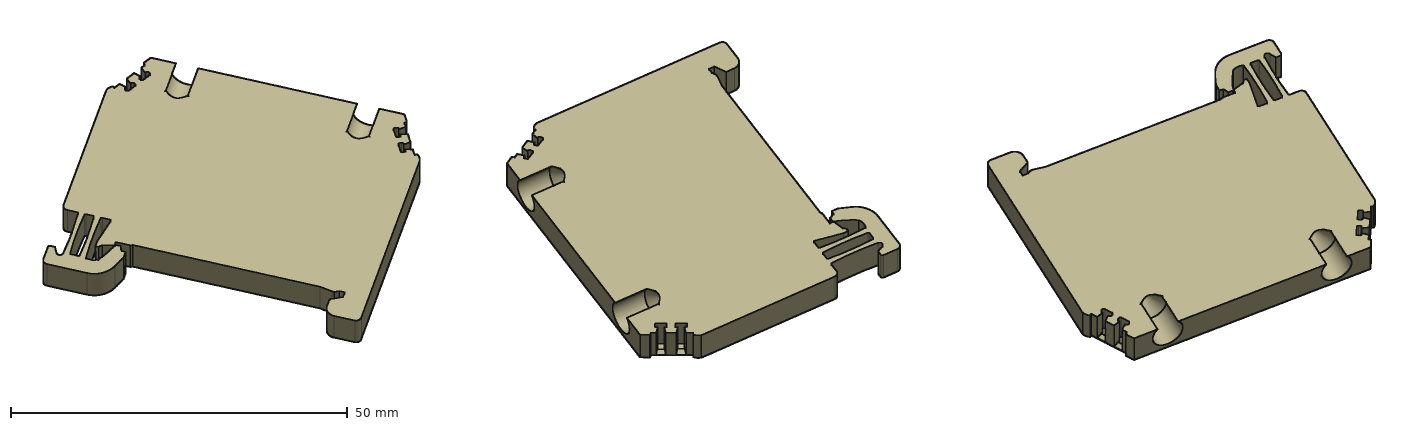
import cadquery as cq
import math

WIDTH = 48.5
HEIGHT = 42.345
THICKNESS = 5.1
HALF_WIDTH = WIDTH / 2

OVERLAP = 0.3
CORNER_SEARCH = 0.05

SLOPE_ANGLE = 60.0
SLOPE_FOOT_X = 23.2
SLOPE_FOOT_Y = 35.3
SLOPE_TOP_Y = 40.75
TOP_HALF_WIDTH = 19.6
LIP_X = 20.35
LIP_Y = 41.1
SHOULDER_X = 23.5
SHOULDER_Y = 35.5
SIDE_TOP_Y = 34.5
SHOULDER_BULGE = 0.12

SLOT_COUNT = 2
SLOT_PITCH = 3.0
FIRST_SLOT_X = 20.8
FIRST_SLOT_Y = 39.45
SLOT_FLOOR = 0.5
THROAT_EDGE_FLOOR = 0.15
THROAT_OUTER_WIDTH = 1.45
THROAT_INNER_WIDTH = 0.95
RAMP_LENGTH = 0.8
THROAT_DEPTH = 1.1
HEAD_LENGTH = 1.8
HEAD_WIDTH = 0.77
HEAD_RADIUS = 0.25

CHANNEL_X = 14.0
CHANNEL_OPENING = 3.4
CHANNEL_AXIS_DEPTH = 1.83
CHANNEL_LENGTH = 5.5
CHANNEL_TIP = 0.92

SEAT_Y = 7.05
SEAT_RIGHT_X = 16.7
SEAT_STEP_X = -12.2
SEAT_STEP_RUN = 0.35
SEAT_LEFT_X = -14.8
SEAT_LEFT_Y = 6.88
BUMP_Y = 6.7
BUMP_START_X = 18.65
BUMP_END_X = 19.05

GROOVE_START_X = 19.7
GROOVE_END_X = 20.55
GROOVE_LIP_Y = 6.1
LEG_X = 18.75
LEG_TOP_Y = 5.15
LEG_FOOT_Y = 2.25
LEG_OUTER_RADIUS = 0.8
LEG_INNER_RADIUS = 1.5

NOSE_TOP_Y = 6.25
NOSE_BEVEL_X = -16.6
NOSE_BEVEL_Y = 5.75
NOSE_TIP_START_X = -17.0
NOSE_TIP_END_X = -17.5
NOSE_TIP_Y = 5.28
NOSE_SIDE_Y = 6.2

BODY_LEFT_Y = 10.8
CORNER_RADIUS = 0.8
WEB_FOOT_Y = 2.7
WEB_SAG = 0.15
WEB_OUTER_X = -21.73
SLOT_LEFT_X = -20.72
SLOT_RIGHT_X = -19.28
SLOT_BOTTOM_Y = 2.8
SMALL_RADIUS = 0.2

WINDOW_X = -18.22
WINDOW_RIGHT_X = -16.6
WINDOW_FOOT_MIDDLE = (-17.4, 2.6)
WINDOW_FOOT_END = (-16.4, 2.9)
HOOK_INNER_TOP = (-14.9, 5.9)
HOOK_INNER_SAG = 0.1

TIP_Y = 6.35
TIP_LEFT_X = -14.7
TIP_RIGHT_X = -13.9
BARB_START = (-13.5, 5.5)
BARB_X = -12.87
BARB_TOP_Y = 5.45
BARB_BOTTOM_Y = 4.4
BACK_ARC_START = (-13.65, 2.45)
BACK_ARC_MIDDLE = (-14.95, 0.75)
BACK_ARC_END = (-17.3, 0)

TOE_Y = 3.5
TOE_RIGHT_X = -23.2
TOE_RADIUS = 0.3
TOE_GAP_START = (-22.7, 2.5)
TOE_GAP_MIDDLE = (-22.2, 2.2)


def mirrored(points):
    """The points flipped to the other side of the part, in the opposite order."""
    return [(-x, y) for x, y in reversed(points)]


def slope_profile():
    """Right shoulder from the top edge down to the foot of the slope."""
    run = (SLOPE_TOP_Y - SLOPE_FOOT_Y) / math.tan(math.radians(SLOPE_ANGLE))
    return [
        (TOP_HALF_WIDTH, HEIGHT),
        (LIP_X, LIP_Y),
        (SLOPE_FOOT_X - run, SLOPE_TOP_Y),
        (SLOPE_FOOT_X, SLOPE_FOOT_Y),
        (SHOULDER_X, SHOULDER_Y),
    ]


def body_outline():
    """Closed outline, clockwise from the left shoulder."""
    right = slope_profile()
    left = mirrored(right)
    return (
        cq.Workplane("XY")
        .polyline(left + right)
        .sagittaArc((HALF_WIDTH, SIDE_TOP_Y), SHOULDER_BULGE)
        .lineTo(HALF_WIDTH, LEG_FOOT_Y)
        .lineTo(LEG_X, LEG_FOOT_Y)
        .lineTo(LEG_X, LEG_TOP_Y)
        .lineTo(GROOVE_END_X, GROOVE_LIP_Y)
        .lineTo(GROOVE_END_X, SEAT_Y)
        .lineTo(GROOVE_START_X, SEAT_Y)
        .lineTo(BUMP_END_X, BUMP_Y)
        .lineTo(BUMP_START_X, BUMP_Y)
        .lineTo(SEAT_RIGHT_X, SEAT_Y)
        .lineTo(SEAT_STEP_X, SEAT_Y)
        .lineTo(SEAT_STEP_X - SEAT_STEP_RUN, SEAT_LEFT_Y)
        .lineTo(SEAT_LEFT_X, SEAT_LEFT_Y)
        .lineTo(SEAT_LEFT_X, NOSE_TOP_Y)
        .lineTo(NOSE_BEVEL_X, NOSE_BEVEL_Y)
        .lineTo(NOSE_TIP_START_X, NOSE_TIP_Y)
        .lineTo(NOSE_TIP_END_X, NOSE_TIP_Y)
        .lineTo(NOSE_TIP_END_X, NOSE_SIDE_Y)
        .lineTo(WINDOW_RIGHT_X, BODY_LEFT_Y)
        .lineTo(WINDOW_X, BODY_LEFT_Y)
        .sagittaArc((WINDOW_X, WEB_FOOT_Y), -WEB_SAG)
        .threePointArc(WINDOW_FOOT_MIDDLE, WINDOW_FOOT_END)
        .sagittaArc(HOOK_INNER_TOP, -HOOK_INNER_SAG)
        .lineTo(TIP_LEFT_X, TIP_Y)
        .lineTo(TIP_RIGHT_X, TIP_Y)
        .lineTo(*BARB_START)
        .lineTo(BARB_X, BARB_TOP_Y)
        .lineTo(BARB_X, BARB_BOTTOM_Y)
        .lineTo(*BACK_ARC_START)
        .threePointArc(BACK_ARC_MIDDLE, BACK_ARC_END)
        .lineTo(-HALF_WIDTH, 0)
        .lineTo(-HALF_WIDTH, TOE_Y)
        .lineTo(TOE_RIGHT_X, TOE_Y)
        .lineTo(*TOE_GAP_START)
        .threePointArc(TOE_GAP_MIDDLE, (WEB_OUTER_X, WEB_FOOT_Y))
        .sagittaArc((WEB_OUTER_X, BODY_LEFT_Y), -WEB_SAG)
        .lineTo(-HALF_WIDTH, BODY_LEFT_Y)
        .lineTo(-HALF_WIDTH, SIDE_TOP_Y)
        .sagittaArc(left[0], SHOULDER_BULGE)
        .close()
    )


def round_corner(solid, x, y, radius):
    """Fillet the upright edge that stands at (x, y)."""
    low = (x - CORNER_SEARCH, y - CORNER_SEARCH, 0)
    high = (x + CORNER_SEARCH, y + CORNER_SEARCH, THICKNESS)
    box = cq.selectors.BoxSelector(low, high)
    return solid.edges("|Z").edges(box).fillet(radius)


def make_body():
    """Plate with its large corners rounded."""
    body = body_outline().extrude(THICKNESS)
    corners = [
        (HALF_WIDTH, LEG_FOOT_Y, LEG_OUTER_RADIUS),
        (LEG_X, LEG_FOOT_Y, LEG_INNER_RADIUS),
        (-HALF_WIDTH, 0, CORNER_RADIUS),
        (-HALF_WIDTH, TOE_Y, TOE_RADIUS),
        (-HALF_WIDTH, BODY_LEFT_Y, CORNER_RADIUS),
        (WEB_OUTER_X, BODY_LEFT_Y, SMALL_RADIUS),
        (WINDOW_X, BODY_LEFT_Y, SMALL_RADIUS),
        (WINDOW_RIGHT_X, BODY_LEFT_Y, SMALL_RADIUS),
    ]
    for x, y, radius in corners:
        body = round_corner(body, x, y, radius)
    return body


def spring_slot():
    """Through slot between the two spring webs, its sides bowed outwards."""
    return (
        cq.Workplane("XY")
        .moveTo(SLOT_LEFT_X, SLOT_BOTTOM_Y)
        .lineTo(SLOT_RIGHT_X, SLOT_BOTTOM_Y)
        .sagittaArc((SLOT_RIGHT_X, BODY_LEFT_Y), -WEB_SAG)
        .lineTo(SLOT_LEFT_X, BODY_LEFT_Y)
        .sagittaArc((SLOT_LEFT_X, SLOT_BOTTOM_Y), -WEB_SAG)
        .close()
        .extrude(THICKNESS)
        .edges("|Z")
        .fillet(SMALL_RADIUS)
    )


def marker_slot():
    """T-slot cutter: local +X points into the part, local Y runs along the slope."""
    flare = (THROAT_OUTER_WIDTH - THROAT_INNER_WIDTH) / 2 / THROAT_DEPTH
    mouth = THROAT_OUTER_WIDTH / 2 + flare * OVERLAP
    neck = THROAT_INNER_WIDTH / 2
    reach = THROAT_DEPTH + OVERLAP
    throat_plan = (
        cq.Workplane("XY")
        .polyline([
            (-OVERLAP, -mouth), (THROAT_DEPTH, -neck), (reach, -neck),
            (reach, neck), (THROAT_DEPTH, neck), (-OVERLAP, mouth),
        ])
        .close()
        .extrude(THICKNESS)
    )
    ramp_slope = (SLOT_FLOOR - THROAT_EDGE_FLOOR) / RAMP_LENGTH
    above_ramp = (
        cq.Workplane("XZ")
        .polyline([
            (-OVERLAP, THROAT_EDGE_FLOOR - ramp_slope * OVERLAP), (RAMP_LENGTH, SLOT_FLOOR),
            (reach, SLOT_FLOOR), (reach, THICKNESS), (-OVERLAP, THICKNESS),
        ])
        .close()
        .extrude(mouth, both=True)
    )
    head = (
        cq.Workplane("XY", origin=(THROAT_DEPTH + HEAD_WIDTH / 2, 0, SLOT_FLOOR))
        .rect(HEAD_WIDTH, HEAD_LENGTH)
        .extrude(THICKNESS - SLOT_FLOOR)
        .edges("|Z")
        .fillet(HEAD_RADIUS)
    )
    return throat_plan.intersect(above_ramp).union(head)


def marker_slots():
    """All slots of the right slope."""
    along_x = math.cos(math.radians(SLOPE_ANGLE)) * SLOT_PITCH
    along_y = -math.sin(math.radians(SLOPE_ANGLE)) * SLOT_PITCH
    inward_angle = 270 - SLOPE_ANGLE
    turned = marker_slot().rotate((0, 0, 0), (0, 0, 1), inward_angle)
    slots = cq.Workplane("XY")
    for i in range(SLOT_COUNT):
        slots = slots.add(turned.translate((FIRST_SLOT_X + i * along_x, FIRST_SLOT_Y + i * along_y, 0)))
    return slots.combine()


def channel():
    """Drilled channel with a conical end, about an axis parallel to Y below the upper face."""
    radius = math.hypot(CHANNEL_OPENING / 2, CHANNEL_AXIS_DEPTH)
    cone_length = CHANNEL_TIP * radius / (radius - CHANNEL_AXIS_DEPTH)
    cone_base = HEIGHT - CHANNEL_LENGTH
    return (
        cq.Workplane("XY")
        .polyline([
            (0, HEIGHT + OVERLAP), (radius, HEIGHT + OVERLAP),
            (radius, cone_base), (0, cone_base - cone_length),
        ])
        .close()
        .revolve(360, (0, 0), (0, 1))
        .translate((CHANNEL_X, 0, THICKNESS - CHANNEL_AXIS_DEPTH))
    )


result = make_body().cut(spring_slot())
for cutter in (marker_slots(), channel()):
    result = result.cut(cutter).cut(cutter.mirror("YZ"))